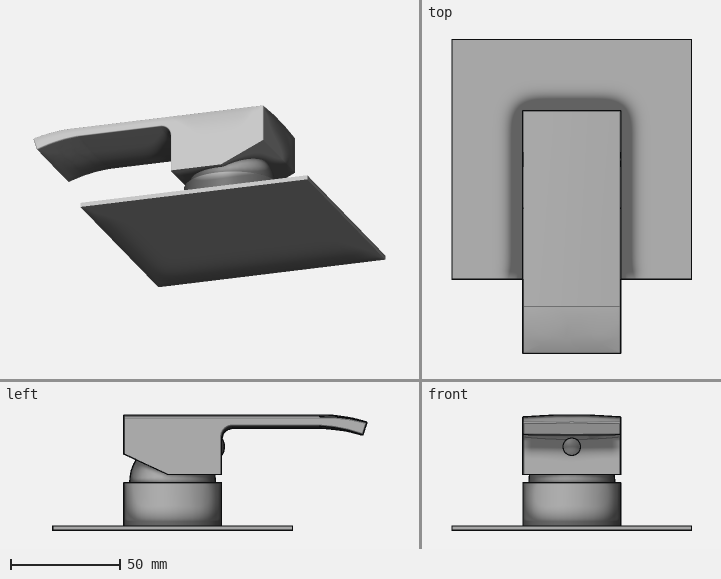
import cadquery as cq
import math

PLATE_SIZE = 110.0
PLATE_THICKNESS = 2.0

BODY_DIAMETER = 45.0
BODY_TOP = 22.0
BODY_EDGE_RADIUS = 0.5
BALL_RADIUS = 19.75

HEAD_SIZE = BODY_DIAMETER
HEAD_HALF = HEAD_SIZE / 2
HEAD_BOTTOM = 25.5
HEAD_REAR_BOTTOM = 35.0
SLOPE_START_Y = 2.0

HANDLE_TOP = 53.01
TOP_CROWN = 1.0
HANDLE_BOTTOM = 46.6
BOTTOM_BELLY = 1.2
ROOT_RADIUS = 5.0
EDGE_RADIUS = 0.5

BEND_START_Y = -67.3
BEND_RADIUS = 72.0
BEND_ANGLE = 17.68
TIP_CROWN = 0.2
TIP_BELLY = 0.2

COVER_RADIUS = 4.0
COVER_HEIGHT = 1.3
COVER_Z = 38.3

TOLERANCE = 0.01


def make_plate():
    return cq.Workplane("XY").box(PLATE_SIZE, PLATE_SIZE, PLATE_THICKNESS, centered=(True, True, False))


def make_body():
    height = BODY_TOP - PLATE_THICKNESS
    body = cq.Workplane("XY").workplane(offset=PLATE_THICKNESS).circle(BODY_DIAMETER / 2).extrude(height)
    return body.faces(">Z").edges().fillet(BODY_EDGE_RADIUS)


def make_ball():
    """Upper half of the ball joint, centred on the top of the body."""
    dome = cq.Workplane("XY").sphere(BALL_RADIUS, angle1=0)
    return dome.translate((0, 0, BODY_TOP))


def lever_section(y, bottom, crown, belly):
    """Section across the lever at Y: top arched by crown, underside sagging by belly (0 is flat)."""
    top_edge = HANDLE_TOP - crown
    bottom_edge = bottom + belly
    section = (
        cq.Workplane("XZ", origin=(0, y, 0))
        .moveTo(-HEAD_HALF, top_edge)
        .threePointArc((0, HANDLE_TOP), (HEAD_HALF, top_edge))
        .lineTo(HEAD_HALF, bottom_edge)
    )
    if belly > 0:
        section = section.threePointArc((0, bottom), (-HEAD_HALF, bottom_edge))
    else:
        section = section.lineTo(-HEAD_HALF, bottom_edge)
    return section.close()


def make_head():
    head = lever_section(HEAD_HALF, HEAD_BOTTOM, TOP_CROWN, 0).extrude(HEAD_SIZE)
    slope_cut = (
        cq.Workplane("YZ")
        .moveTo(SLOPE_START_Y, HEAD_BOTTOM)
        .lineTo(HEAD_HALF, HEAD_BOTTOM)
        .lineTo(HEAD_HALF, HEAD_REAR_BOTTOM)
        .close()
        .extrude(HEAD_HALF, both=True)
    )
    return head.cut(slope_cut)


def make_bend():
    """Curved end of the handle, whose arched section flattens steadily toward the tip."""
    axis_z = HANDLE_TOP - BEND_RADIUS

    def bend_point(angle):
        """Point on the arc of the bend, measured in the YZ plane, after turning by the given angle."""
        turn = math.radians(angle)
        return (BEND_START_Y - BEND_RADIUS * math.sin(turn), axis_z + BEND_RADIUS * math.cos(turn))

    path = (
        cq.Workplane("YZ")
        .moveTo(BEND_START_Y, HANDLE_TOP)
        .threePointArc(bend_point(BEND_ANGLE / 2), bend_point(BEND_ANGLE))
    )
    start = lever_section(BEND_START_Y, HANDLE_BOTTOM, TOP_CROWN, BOTTOM_BELLY)
    tip = lever_section(BEND_START_Y, HANDLE_BOTTOM, TIP_CROWN, TIP_BELLY)
    tip_wire = tip.val().rotate(
        cq.Vector(0, BEND_START_Y, axis_z), cq.Vector(1, BEND_START_Y, axis_z), BEND_ANGLE
    )
    sections = cq.Workplane("XZ").add(start.val()).add(tip_wire).toPending()
    return sections.sweep(path, multisection=True)


def make_handle():
    straight = lever_section(HEAD_HALF, HANDLE_BOTTOM, TOP_CROWN, BOTTOM_BELLY)
    return straight.extrude(HEAD_HALF - BEND_START_Y).union(make_bend())


def make_lever():
    lever = make_head().union(make_handle())

    root_box = cq.selectors.BoxSelector(
        (-HEAD_HALF - TOLERANCE, -HEAD_HALF - TOLERANCE, HANDLE_BOTTOM - TOLERANCE),
        (HEAD_HALF + TOLERANCE, -HEAD_HALF + TOLERANCE, HANDLE_BOTTOM + BOTTOM_BELLY + TOLERANCE),
        boundingbox=True,
    )
    lever = lever.edges(root_box).fillet(ROOT_RADIUS)
    return round_lever_edges(lever)


def round_lever_edges(lever):
    """Soften the rims of the side, rear and tip faces, keeping the underside of the head sharp."""
    rims = lever.faces("<X or >X or >Y or <Y").edges()
    upper_rims = rims.filter(lambda edge: edge.Center().z > HEAD_REAR_BOTTOM + TOLERANCE)
    return upper_rims.add(lever.edges("|Z")).fillet(EDGE_RADIUS)


def make_cover():
    """Spherical cap standing proud of the front face of the head."""
    sphere_radius = (COVER_RADIUS**2 + COVER_HEIGHT**2) / (2 * COVER_HEIGHT)
    sphere_y = sphere_radius - COVER_HEIGHT - HEAD_HALF
    return cq.Workplane("XY").sphere(sphere_radius).translate((0, sphere_y, COVER_Z))


result = make_plate().union(make_body()).union(make_ball()).union(make_lever()).union(make_cover())